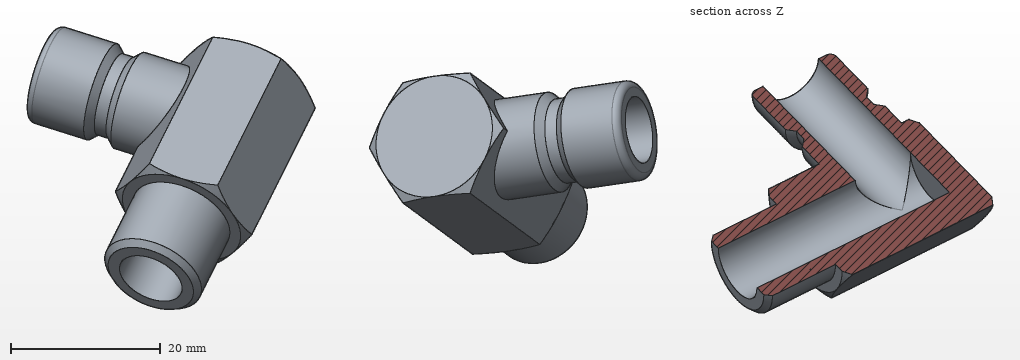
import cadquery as cq
import math

across_flats = 17.0
body_length = 24.43
across_corners = across_flats / math.cos(math.radians(30))
corner_chamfer_angle = 30

spigot_diameter = 13.9
spigot_length = 11.1
spigot_chamfer = 0.83

branch_diameter = 13.5
overall_width = 35.87
branch_reach = overall_width - across_corners / 2
branch_inset = 8.7
branch_y = body_length - branch_inset
branch_end_fillet = 0.97
groove_diameter = 11.4
groove_start = 8.43
groove_width = 3.9
groove_flank = 1.1

bore_diameter = 9.0
main_bore_end_y = branch_y + bore_diameter / 2


def make_hex_body():
    """Hexagonal prism with both ends turned down to the flats by a shallow cone."""
    prism = (
        cq.Workplane("XZ")
        .polygon(6, across_corners)
        .extrude(-body_length)
    )
    flat_radius = across_flats / 2
    corner_radius = across_corners / 2
    cone_height = (corner_radius - flat_radius) * math.tan(math.radians(corner_chamfer_angle))
    turned_envelope = (
        cq.Workplane("XY")
        .polyline([
            (0, 0),
            (flat_radius, 0),
            (corner_radius, cone_height),
            (corner_radius, body_length - cone_height),
            (flat_radius, body_length),
            (0, body_length),
        ])
        .close()
        .revolve(360, (0, 0, 0), (0, 1, 0))
    )
    return prism.intersect(turned_envelope)


def make_spigot():
    return (
        cq.Workplane("XZ")
        .circle(spigot_diameter / 2)
        .extrude(spigot_length)
        .faces("<Y")
        .chamfer(spigot_chamfer)
    )


def make_branch():
    """Turned branch from its rounded free end to the body axis."""
    radius = branch_diameter / 2
    groove_radius = groove_diameter / 2
    end_x = -branch_reach
    groove_x = end_x + groove_start
    groove_end_x = groove_x + groove_width
    profile = (
        cq.Workplane("XY", origin=(0, branch_y, 0))
        .moveTo(end_x, 0)
        .lineTo(end_x, radius - branch_end_fillet)
        .radiusArc((end_x + branch_end_fillet, radius), branch_end_fillet)
        .lineTo(groove_x, radius)
        .lineTo(groove_x + groove_flank, groove_radius)
        .lineTo(groove_end_x - groove_flank, groove_radius)
        .lineTo(groove_end_x, radius)
        .lineTo(0, radius)
        .lineTo(0, 0)
        .close()
    )
    return profile.revolve(360, (0, 0, 0), (1, 0, 0))


def make_bores():
    main_bore = (
        cq.Workplane("XZ", origin=(0, -spigot_length, 0))
        .circle(bore_diameter / 2)
        .extrude(-(spigot_length + main_bore_end_y))
    )
    branch_bore = (
        cq.Workplane("YZ", origin=(-branch_reach, branch_y, 0))
        .circle(bore_diameter / 2)
        .extrude(branch_reach)
    )
    return main_bore, branch_bore


main_bore, branch_bore = make_bores()
result = (
    make_hex_body()
    .union(make_spigot())
    .union(make_branch())
    .cut(main_bore)
    .cut(branch_bore)
)